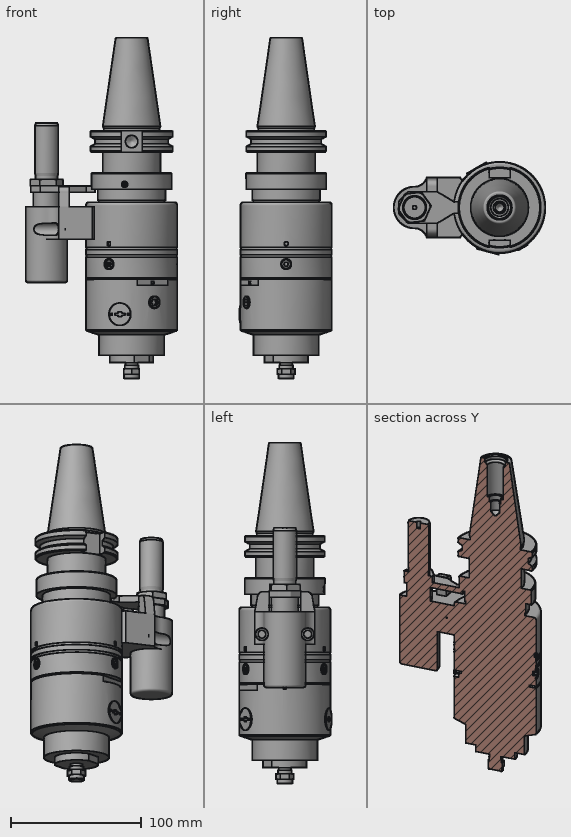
import cadquery as cq
import math


GAUGE_RADIUS = 22.225
TAPER_RATE = 7 / 48
SHANK_TOP = 68.4
SHANK_END = 0.6
SHANK_LIP_FILLET = 1.5
DRAWBAR_PILOT_RADIUS = 8.5
DRAWBAR_PILOT_DEPTH = 3.5
DRAWBAR_BORE_RADIUS = 6.7
DRAWBAR_BORE_DEPTH = 32.0
DRAWBAR_MOUTH_CHAMFER = 1.0
COOLANT_SEAT_RADIUS = 9.5 / 2
COOLANT_SEAT_DEPTH = 4.0
COOLANT_BORE_RADIUS = 7.0 / 2
COOLANT_BORE_DEPTH = 8.0

FLANGE_RADIUS = 31.6
FLANGE_TOP = -2.8
FLANGE_WIDTH = 16.3
FLANGE_BOTTOM = FLANGE_TOP - FLANGE_WIDTH
FLANGE_CHAMFER = 0.8
RELIEF_RADIUS = 21.5
RELIEF_TOP = -1.0
GRIP_CENTRE = -11.1
GRIP_FLOOR_RADIUS = 28.1
GRIP_FLOOR_HALF = 1.8
GRIP_WALL_ANGLE = math.radians(30)
GRIP_MOUTH_HALF = GRIP_FLOOR_HALF + (FLANGE_RADIUS - GRIP_FLOOR_RADIUS) * math.tan(GRIP_WALL_ANGLE)
KEY_WIDTH = 16.1
FRONT_KEY_FLOOR = 25.0
BACK_KEY_FLOOR = 22.8
DIMPLE_RADIUS = 9.5 / 2
DRILL_POINT_HALF_ANGLE = math.radians(59)
DIMPLE_DEPTH = DIMPLE_RADIUS / math.tan(DRILL_POINT_HALF_ANGLE)

NECK_RADIUS = 22.25
COLLAR_RADIUS = 30.75
COLLAR_TOP = -35.0
COLLAR_BOTTOM = -47.6
COLLAR_CHAMFER = 0.7
LOWER_NECK_RADIUS = 26.0
UNDERCUT_RADIUS = 25.2
UNDERCUT_TOP = -55.8
COLLAR_SCREW_AZIMUTH = -100
COLLAR_SCREW_Z = -43.8
COLLAR_SCREW_RADIUS = 4.5 / 2
COLLAR_SCREW_SOCKET = 2.0

SCREW_GAP_WIDTH = 0.6
SCREW_GAP_DEPTH = 0.8
SCREW_SOCKET_DEPTH = 2.0

HEAD_RADIUS = 35.0
HEAD_TOP = -57.4
HEAD_FILLET = 2.5
BAND_CENTRE = -95.8
BAND_HALF = 2.0
BAND_GROOVE_WIDTH = 1.9
BAND_GROOVE_DEPTH = 0.4
UPPER_HEAD_BOTTOM = -115.3
SEAM_RADIUS = 29.0
THREEFOLD_AZIMUTHS = (0, 120, 240)
HEAD_SCREW_Z = -104.8
HEAD_SCREW_RADIUS = 8.0 / 2
HEAD_SCREW_SOCKET = 3.0
MARK_HOLE_Z = -89.2
MARK_HOLE_RADIUS = 3.0 / 2
MARK_HOLE_DEPTH = 1.5

LOWER_HEAD_TOP = -116.5
LOWER_HEAD_EDGE = -155.0
LOWER_HEAD_CHAMFER = 1.0
NOSE_TOP = -159.0
NOSE_RADIUS = 25.0
NOSE_BOTTOM = -174.6
SPANNER_AZIMUTHS = (-60, 120)
HEAD_FLAT_DISTANCE = 32.3
HEAD_FLAT_HEIGHT = 4.5
DOT_AZIMUTHS = (-60, 180)
DOT_Z = -119.0
DOT_RADIUS = 2.5 / 2
DOT_FLOOR_DISTANCE = 31.0
PLUG_AZIMUTHS = (-105, 120)
PLUG_Z = -143.1
PLUG_RADIUS = 8.6
PLUG_FACE_DISTANCE = 35.0
PLUG_PIN_HOLE_RADIUS = 1.6 / 2
PLUG_PIN_HOLE_OFFSET = 6.9
PLUG_PIN_HOLE_DEPTH = 2.0
PLUG_CENTRE_RADIUS = 4.0 / 2
PLUG_SLOT_LENGTH = 8.0
PLUG_SLOT_WIDTH = 1.6
PLUG_SLOT_DEPTH = 1.0
LOCK_SCREW_AZIMUTH = -60
LOCK_SCREW_Z = -134.0
LOCK_SCREW_RADIUS = 9.5 / 2
LOCK_SCREW_PROUD = 0.5
LOCK_SCREW_CHAMFER = 0.5
LOCK_SCREW_SOCKET = 5.0
LOCK_SCREW_SOCKET_DEPTH = 3.0

WRENCH_RADIUS = 16.7
WRENCH_BOTTOM = -180.1
WRENCH_FLAT_DISTANCE = 15.3
STEM_RADIUS = 4.8
STEM_COLLAR_RADIUS = 5.4
STEM_COLLAR_TOP = -182.0
TIP_NUT_FLATS = 12.0
TIP_NUT_TOP = -184.9
TIP_NUT_BOTTOM = -189.0
TIP_RADIUS = 5.9
TIP_CHAMFER = 0.6
OVERALL_LENGTH = 260.9
TIP_BOTTOM = SHANK_TOP - OVERALL_LENGTH

ARM_X = -65.0
ARM_RADIUS = 16.0
ARM_TOP = -60.8
ARM_BOTTOM = -118.9
ARM_FILLET = 2.0
BRACKET_FACE_X = -55.6
BRACKET_END_X = -30.2
BRACKET_HALF_WIDTH = 23.0
BRACKET_CORNER_X = 1.9
BRACKET_CORNER_Y = 2.6
BRACKET_HEIGHT = 25.0
ARM_SCREW_Y = 17.5
ARM_SCREW_Z = -78.1
ARM_SCREW_HEAD_RADIUS = 9.5 / 2
ARM_SCREW_SEAT_DEPTH = 5.0
ARM_SCREW_SOCKET_RADIUS = 6.0 / 2
ARM_SCREW_SOCKET_DEPTH = 3.0

PLATE_TOP = -44.9
PLATE_BOTTOM = -49.9
PLATE_HALF_WIDTH = 12.0
PRONG_TOP = -45.5
PRONG_THICKNESS = 8.0
PRONG_TIP_FILLET = 4.5
PRONG_LEAN = 2.0
PLATE_NOSE_LENGTH = 12.2
PLATE_NOSE_HALF = 4.5
PLATE_NOSE_SHOULDER = 5.0
PLATE_NOSE_FILLET = 1.5
TONGUE_HALF_WIDTH = 4.4
TONGUE_START_X = -34.8
TONGUE_END_X = -27.8

COLUMN_RADIUS = 10.2
PIN_NUT_FLATS = 22.0
PIN_NUT_TURN = 6
PIN_NUT_TOP = -39.8
PIN_NUT_CHAMFER = 0.8
PIN_RADIUS = 9.0
PIN_TOP = 3.1
PIN_CHAMFER_HEIGHT = 2.0
PIN_CHAMFER_INSET = 0.8
PIN_FOOT_RADIUS = 8.5
PIN_FOOT_TOP = -37.5
PIN_FOOT_CONE_TOP = -35.2
PIN_HOLE_RADIUS = 3.0 / 2
PIN_HOLE_DEPTH = 5.0


def cylinder(radius, top, bottom, x=0.0):
    """Vertical cylinder between two levels."""
    return cq.Workplane("XY", origin=(x, 0, bottom)).circle(radius).extrude(top - bottom)


def across_corners(across_flats):
    """Corner to corner size of a hexagon."""
    return across_flats / math.cos(math.pi / 6)


def hexagon(across_flats, top, bottom, x=0.0, turn=0):
    """Vertical hexagonal prism with corners on the X direction before turning."""
    prism = cq.Workplane("XY").polygon(6, across_corners(across_flats)).extrude(top - bottom)
    return prism.rotate((0, 0, 0), (0, 0, 1), turn).translate((x, 0, bottom))


def revolve(outline):
    """Turn a closed (radius, z) outline around the Z axis."""
    return cq.Workplane("XZ").polyline(outline).close().revolve(360, (0, 0, 0), (0, 1, 0))


def radial_plane(azimuth, distance, z):
    """Workplane facing outward from the Z axis at an azimuth in degrees."""
    angle = math.radians(azimuth)
    outward = (math.cos(angle), math.sin(angle), 0)
    sideways = (-math.sin(angle), math.cos(angle), 0)
    origin = (distance * outward[0], distance * outward[1], z)
    return cq.Workplane(cq.Plane(origin=origin, xDir=sideways, normal=outward))


def outside_flat(azimuth, distance, top, bottom):
    """Block that mills a flat at a given distance from the Z axis."""
    plane = radial_plane(azimuth, distance, (top + bottom) / 2)
    return plane.rect(2 * HEAD_RADIUS, top - bottom).extrude(HEAD_RADIUS)


def set_screw(azimuth, surface_radius, z, radius, socket):
    """Cutter for a set screw: the ring gap around the screw and its hexagon socket."""
    clearance = 2 * SCREW_GAP_DEPTH
    floor = radial_plane(azimuth, surface_radius - SCREW_GAP_DEPTH, z)
    bore = floor.circle(radius).circle(radius - SCREW_GAP_WIDTH).extrude(clearance)
    key = floor.workplane(offset=-SCREW_SOCKET_DEPTH).polygon(6, across_corners(socket))
    return bore.union(key.extrude(SCREW_SOCKET_DEPTH + clearance))


def make_shank():
    top_radius = GAUGE_RADIUS - TAPER_RATE * SHANK_TOP
    end_radius = GAUGE_RADIUS - TAPER_RATE * SHANK_END
    pilot_floor = SHANK_TOP - DRAWBAR_PILOT_DEPTH
    bore_start = pilot_floor - (DRAWBAR_PILOT_RADIUS - DRAWBAR_BORE_RADIUS)
    bore_floor = SHANK_TOP - DRAWBAR_BORE_DEPTH
    seat_floor = bore_floor - COOLANT_SEAT_DEPTH
    coolant_floor = seat_floor - COOLANT_BORE_DEPTH
    shank = revolve([
        (0, FLANGE_TOP),
        (RELIEF_RADIUS, FLANGE_TOP),
        (RELIEF_RADIUS, RELIEF_TOP),
        (end_radius, SHANK_END),
        (top_radius, SHANK_TOP),
        (0, SHANK_TOP),
    ]).faces(">Z").edges().fillet(SHANK_LIP_FILLET)
    bore = revolve([
        (0, SHANK_TOP),
        (DRAWBAR_PILOT_RADIUS + DRAWBAR_MOUTH_CHAMFER, SHANK_TOP),
        (DRAWBAR_PILOT_RADIUS, SHANK_TOP - DRAWBAR_MOUTH_CHAMFER),
        (DRAWBAR_PILOT_RADIUS, pilot_floor),
        (DRAWBAR_BORE_RADIUS, bore_start),
        (DRAWBAR_BORE_RADIUS, bore_floor),
        (COOLANT_SEAT_RADIUS, bore_floor),
        (COOLANT_SEAT_RADIUS, seat_floor),
        (COOLANT_BORE_RADIUS, seat_floor),
        (COOLANT_BORE_RADIUS, coolant_floor),
        (0, coolant_floor - COOLANT_BORE_RADIUS),
    ])
    return shank.cut(bore)


def make_flange():
    flange = cylinder(FLANGE_RADIUS, FLANGE_TOP, FLANGE_BOTTOM).edges().chamfer(FLANGE_CHAMFER)
    grip_groove = revolve([
        (GRIP_FLOOR_RADIUS, GRIP_CENTRE + GRIP_FLOOR_HALF),
        (FLANGE_RADIUS, GRIP_CENTRE + GRIP_MOUTH_HALF),
        (HEAD_RADIUS, GRIP_CENTRE + GRIP_MOUTH_HALF),
        (HEAD_RADIUS, GRIP_CENTRE - GRIP_MOUTH_HALF),
        (FLANGE_RADIUS, GRIP_CENTRE - GRIP_MOUTH_HALF),
        (GRIP_FLOOR_RADIUS, GRIP_CENTRE - GRIP_FLOOR_HALF),
    ])
    flange = flange.cut(grip_groove)
    flange_middle = (FLANGE_TOP + FLANGE_BOTTOM) / 2
    for azimuth, floor in ((-90, FRONT_KEY_FLOOR), (90, BACK_KEY_FLOOR)):
        slot = radial_plane(azimuth, floor, flange_middle).rect(KEY_WIDTH, FLANGE_WIDTH)
        flange = flange.cut(slot.extrude(FLANGE_RADIUS))
    dimple = cq.Solid.makeCone(
        DIMPLE_RADIUS, 0, DIMPLE_DEPTH, cq.Vector(0, -FRONT_KEY_FLOOR, GRIP_CENTRE), cq.Vector(0, 1, 0))
    return flange.cut(cq.Workplane(dimple))


def make_collar():
    necks = cylinder(NECK_RADIUS, FLANGE_BOTTOM, COLLAR_TOP)
    necks = necks.union(cylinder(LOWER_NECK_RADIUS, COLLAR_BOTTOM, UNDERCUT_TOP))
    necks = necks.union(cylinder(UNDERCUT_RADIUS, UNDERCUT_TOP, HEAD_TOP))
    ring = cylinder(COLLAR_RADIUS, COLLAR_TOP, COLLAR_BOTTOM).faces(">Z").edges().chamfer(COLLAR_CHAMFER)
    collar = necks.union(ring)
    screw = set_screw(
        COLLAR_SCREW_AZIMUTH, COLLAR_RADIUS, COLLAR_SCREW_Z, COLLAR_SCREW_RADIUS, COLLAR_SCREW_SOCKET)
    return collar.cut(screw)


def make_upper_head():
    head = cylinder(HEAD_RADIUS, HEAD_TOP, UPPER_HEAD_BOTTOM).faces(">Z").edges().fillet(HEAD_FILLET)
    groove_floor = HEAD_RADIUS - BAND_GROOVE_DEPTH
    for groove_bottom in (BAND_CENTRE + BAND_HALF, BAND_CENTRE - BAND_HALF - BAND_GROOVE_WIDTH):
        groove_top = groove_bottom + BAND_GROOVE_WIDTH
        ring = cylinder(2 * HEAD_RADIUS, groove_top, groove_bottom)
        head = head.cut(ring.cut(cylinder(groove_floor, groove_top, groove_bottom)))
    for azimuth in THREEFOLD_AZIMUTHS:
        head = head.cut(set_screw(azimuth, HEAD_RADIUS, HEAD_SCREW_Z, HEAD_SCREW_RADIUS, HEAD_SCREW_SOCKET))
        mark = radial_plane(azimuth, HEAD_RADIUS - MARK_HOLE_DEPTH, MARK_HOLE_Z)
        head = head.cut(mark.circle(MARK_HOLE_RADIUS).extrude(2 * MARK_HOLE_DEPTH))
    return head.union(cylinder(SEAM_RADIUS, UPPER_HEAD_BOTTOM, LOWER_HEAD_TOP))


def make_lower_head():
    head = revolve([
        (0, LOWER_HEAD_TOP),
        (HEAD_RADIUS, LOWER_HEAD_TOP),
        (HEAD_RADIUS, LOWER_HEAD_EDGE),
        (HEAD_RADIUS - LOWER_HEAD_CHAMFER, LOWER_HEAD_EDGE - LOWER_HEAD_CHAMFER),
        (NOSE_RADIUS, NOSE_TOP),
        (NOSE_RADIUS, NOSE_BOTTOM),
        (0, NOSE_BOTTOM),
    ])
    for azimuth in SPANNER_AZIMUTHS:
        flat_bottom = LOWER_HEAD_TOP - HEAD_FLAT_HEIGHT
        head = head.cut(outside_flat(azimuth, HEAD_FLAT_DISTANCE, LOWER_HEAD_TOP, flat_bottom))
    for azimuth in DOT_AZIMUTHS:
        dot = radial_plane(azimuth, DOT_FLOOR_DISTANCE, DOT_Z).circle(DOT_RADIUS)
        head = head.cut(dot.extrude(HEAD_RADIUS))
    for azimuth in PLUG_AZIMUTHS:
        plug_hole = radial_plane(azimuth, PLUG_FACE_DISTANCE, PLUG_Z).circle(PLUG_RADIUS)
        plug = radial_plane(azimuth, 0, PLUG_Z).circle(PLUG_RADIUS).extrude(PLUG_FACE_DISTANCE)
        head = head.cut(plug_hole.extrude(HEAD_RADIUS)).union(plug)
        head = head.cut(make_plug_recesses(azimuth))
    return head.union(make_lock_screw()).cut(make_lock_screw_socket())


def make_plug_recesses(azimuth):
    """Two pin holes and a slotted centre recess in the face of a plug."""
    pin_floor = radial_plane(azimuth, PLUG_FACE_DISTANCE - PLUG_PIN_HOLE_DEPTH, PLUG_Z)
    slot_floor = radial_plane(azimuth, PLUG_FACE_DISTANCE - PLUG_SLOT_DEPTH, PLUG_Z)
    pin_places = [(-PLUG_PIN_HOLE_OFFSET, 0), (PLUG_PIN_HOLE_OFFSET, 0)]
    pin_holes = pin_floor.pushPoints(pin_places).circle(PLUG_PIN_HOLE_RADIUS).extrude(PLUG_PIN_HOLE_DEPTH)
    centre = slot_floor.circle(PLUG_CENTRE_RADIUS).extrude(PLUG_SLOT_DEPTH)
    slot = slot_floor.slot2D(PLUG_SLOT_LENGTH, PLUG_SLOT_WIDTH).extrude(PLUG_SLOT_DEPTH)
    return centre.union(slot).union(pin_holes)


def make_lock_screw():
    face_distance = HEAD_RADIUS + LOCK_SCREW_PROUD
    screw = radial_plane(LOCK_SCREW_AZIMUTH, 0, LOCK_SCREW_Z).circle(LOCK_SCREW_RADIUS)
    return screw.extrude(face_distance).edges("%CIRCLE").chamfer(LOCK_SCREW_CHAMFER)


def make_lock_screw_socket():
    floor = HEAD_RADIUS + LOCK_SCREW_PROUD - LOCK_SCREW_SOCKET_DEPTH
    plane = radial_plane(LOCK_SCREW_AZIMUTH, floor, LOCK_SCREW_Z)
    socket = plane.polygon(6, across_corners(LOCK_SCREW_SOCKET))
    return socket.extrude(2 * LOCK_SCREW_SOCKET_DEPTH)


def make_spindle_end():
    wrench = cylinder(WRENCH_RADIUS, NOSE_BOTTOM, WRENCH_BOTTOM)
    for azimuth in SPANNER_AZIMUTHS:
        wrench = wrench.cut(outside_flat(azimuth, WRENCH_FLAT_DISTANCE, NOSE_BOTTOM, WRENCH_BOTTOM))
    tip = cylinder(TIP_RADIUS, TIP_NUT_BOTTOM, TIP_BOTTOM).faces("<Z").edges().chamfer(TIP_CHAMFER)
    end = wrench.union(cylinder(STEM_RADIUS, WRENCH_BOTTOM, TIP_NUT_TOP))
    end = end.union(cylinder(STEM_COLLAR_RADIUS, STEM_COLLAR_TOP, TIP_NUT_TOP))
    end = end.union(hexagon(TIP_NUT_FLATS, TIP_NUT_TOP, TIP_NUT_BOTTOM, turn=90))
    return end.union(tip)


def make_bracket():
    bottom = ARM_TOP - BRACKET_HEIGHT
    flank_run = BRACKET_FACE_X - ARM_X
    flank_rise = BRACKET_HALF_WIDTH - ARM_RADIUS
    flank_radius = (flank_run ** 2 + flank_rise ** 2) / (2 * flank_rise)
    half_sweep = math.asin(flank_run / flank_radius) / 2
    flank_mid_x = ARM_X + flank_radius * math.sin(half_sweep)
    flank_mid_y = ARM_RADIUS + flank_radius * (1 - math.cos(half_sweep))
    end_y = BRACKET_HALF_WIDTH - BRACKET_CORNER_Y
    outline = (
        cq.Workplane("XY", origin=(0, 0, bottom))
        .moveTo(ARM_X, -ARM_RADIUS)
        .threePointArc((flank_mid_x, -flank_mid_y), (BRACKET_FACE_X, -BRACKET_HALF_WIDTH))
        .lineTo(BRACKET_END_X, -BRACKET_HALF_WIDTH)
        .lineTo(BRACKET_END_X + BRACKET_CORNER_X, -end_y)
        .lineTo(BRACKET_END_X + BRACKET_CORNER_X, end_y)
        .lineTo(BRACKET_END_X, BRACKET_HALF_WIDTH)
        .lineTo(BRACKET_FACE_X, BRACKET_HALF_WIDTH)
        .threePointArc((flank_mid_x, flank_mid_y), (ARM_X, ARM_RADIUS))
        .close()
    )
    arm = cylinder(ARM_RADIUS, ARM_TOP, ARM_BOTTOM, ARM_X).faces("<Z").edges().fillet(ARM_FILLET)
    arm = arm.union(outline.extrude(BRACKET_HEIGHT))
    seat_x = BRACKET_FACE_X + ARM_SCREW_SEAT_DEPTH
    for side in (-1, 1):
        seat = cq.Workplane("YZ", origin=(seat_x, side * ARM_SCREW_Y, ARM_SCREW_Z))
        arm = arm.cut(seat.circle(ARM_SCREW_HEAD_RADIUS).extrude(-2 * ARM_RADIUS))
        arm = arm.cut(seat.circle(ARM_SCREW_SOCKET_RADIUS).extrude(ARM_SCREW_SOCKET_DEPTH))
    return arm


def make_prong():
    lean_y = BRACKET_HALF_WIDTH - PRONG_LEAN
    prong = (
        cq.Workplane("YZ", origin=(BRACKET_FACE_X, 0, 0))
        .moveTo(PLATE_HALF_WIDTH, ARM_TOP)
        .lineTo(BRACKET_HALF_WIDTH, ARM_TOP)
        .lineTo(lean_y, PRONG_TOP - PRONG_TIP_FILLET)
        .radiusArc((lean_y - PRONG_TIP_FILLET, PRONG_TOP), -PRONG_TIP_FILLET)
        .lineTo(PLATE_HALF_WIDTH, PRONG_TOP)
        .close()
    )
    return prong.extrude(PRONG_THICKNESS)


def make_locking_plate():
    nose_x = ARM_X - PLATE_NOSE_LENGTH
    shoulder_x = ARM_X - PLATE_NOSE_SHOULDER
    waist_x = BRACKET_FACE_X + PRONG_THICKNESS
    upper_edge = [
        (nose_x, PLATE_NOSE_HALF),
        (shoulder_x, PLATE_HALF_WIDTH),
        (waist_x, PLATE_HALF_WIDTH),
        (TONGUE_START_X, TONGUE_HALF_WIDTH),
        (TONGUE_END_X, TONGUE_HALF_WIDTH),
    ]
    lower_edge = [(x, -y) for x, y in reversed(upper_edge)]
    plate = cq.Workplane("XY", origin=(0, 0, PLATE_BOTTOM)).polyline(upper_edge + lower_edge).close()
    plate = plate.extrude(PLATE_TOP - PLATE_BOTTOM)
    return plate.faces("<X").edges("|Z").fillet(PLATE_NOSE_FILLET)


def make_stop_pin():
    pin = revolve([
        (0, PIN_NUT_TOP),
        (PIN_FOOT_RADIUS, PIN_NUT_TOP),
        (PIN_FOOT_RADIUS, PIN_FOOT_TOP),
        (PIN_RADIUS, PIN_FOOT_CONE_TOP),
        (PIN_RADIUS, PIN_TOP - PIN_CHAMFER_HEIGHT),
        (PIN_RADIUS - PIN_CHAMFER_INSET, PIN_TOP),
        (PIN_HOLE_RADIUS, PIN_TOP),
        (PIN_HOLE_RADIUS, PIN_TOP - PIN_HOLE_DEPTH),
        (0, PIN_TOP - PIN_HOLE_DEPTH),
    ]).translate((ARM_X, 0, 0))
    nut_corner_radius = across_corners(PIN_NUT_FLATS) / 2
    nut_blank = cylinder(nut_corner_radius, PIN_NUT_TOP, PLATE_TOP, ARM_X)
    nut_blank = nut_blank.faces(">Z").edges().chamfer(PIN_NUT_CHAMFER)
    nut = hexagon(PIN_NUT_FLATS, PIN_NUT_TOP, PLATE_TOP, ARM_X, PIN_NUT_TURN).intersect(nut_blank)
    column = cylinder(COLUMN_RADIUS, PLATE_BOTTOM, ARM_TOP, ARM_X)
    return pin.union(nut).union(column)


prong = make_prong()

result = (
    make_shank()
    .union(make_flange())
    .union(make_collar())
    .union(make_upper_head())
    .union(make_lower_head())
    .union(make_spindle_end())
    .union(make_bracket())
    .union(prong)
    .union(prong.mirror("XZ"))
    .union(make_locking_plate())
    .union(make_stop_pin())
)